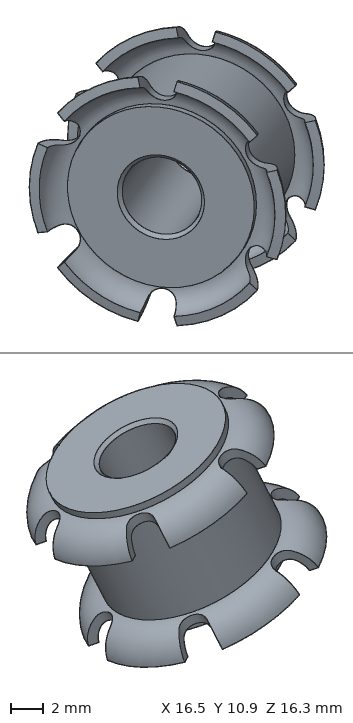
import cadquery as cq
import math

body_radius = 5.99
body_length = 10.0
bore_radius = 2.55
bore_chamfer = 0.25

flange_outer_radius = 8.23
rim_tilt = math.radians(9)
flange_thickness = 0.67
curl_outer_radius = (flange_outer_radius - body_radius) / math.cos(rim_tilt)
curl_inner_radius = curl_outer_radius - flange_thickness
flange_pitch = 8.35
back_shoulder = 0.5
root_overlap = 0.33

slot_count = 6
slot_floor_radius = 6.27
slot_round_radius = 0.99
slot_flare = math.radians(15)
slot_reach = 9.05

back_y = body_length / 2


def make_body():
    """Cylinder with a bore chamfered at both ends."""
    body = cq.Workplane("XZ", origin=(0, back_y, 0)).circle(body_radius).circle(bore_radius)
    body = body.extrude(body_length)
    bore_edges = cq.selectors.RadiusNthSelector(0)
    return body.edges("%CIRCLE").edges(bore_edges).chamfer(bore_chamfer)


def make_flange(crown_y):
    """Curled flange whose flat crown lies at crown_y and whose rim points to -Y."""
    center_y = crown_y - curl_outer_radius

    def curl_point(radius, angle):
        return (body_radius + radius * math.cos(angle), center_y + radius * math.sin(angle))

    middle = (rim_tilt + math.pi / 2) / 2
    root_radius = body_radius - root_overlap
    profile = (
        cq.Workplane("XY")
        .moveTo(root_radius, crown_y)
        .lineTo(body_radius, crown_y)
        .threePointArc(curl_point(curl_outer_radius, middle), curl_point(curl_outer_radius, rim_tilt))
        .lineTo(*curl_point(curl_inner_radius, rim_tilt))
        .threePointArc(curl_point(curl_inner_radius, middle), (body_radius, crown_y - flange_thickness))
        .lineTo(root_radius, crown_y - flange_thickness)
        .close()
    )
    return profile.revolve(360, (0, 0, 0), (0, 1, 0))


def make_slot():
    """Round-bottomed cutter with flared sides, pointing to +Z."""
    center_z = slot_floor_radius + slot_round_radius
    tangent_x = slot_round_radius * math.cos(slot_flare)
    tangent_z = center_z - slot_round_radius * math.sin(slot_flare)
    mouth_x = tangent_x + (slot_reach - tangent_z) * math.tan(slot_flare)
    return (
        cq.Workplane("XZ")
        .moveTo(-mouth_x, slot_reach)
        .lineTo(-tangent_x, tangent_z)
        .threePointArc((0, slot_floor_radius), (tangent_x, tangent_z))
        .lineTo(mouth_x, slot_reach)
        .close()
        .extrude(body_length, both=True)
    )


result = make_body()
back_crown_y = back_y - back_shoulder
for crown in (back_crown_y, back_crown_y - flange_pitch):
    result = result.union(make_flange(crown))

slot = make_slot()
for index in range(slot_count):
    result = result.cut(slot.rotate((0, 0, 0), (0, 1, 0), index * 360 / slot_count))